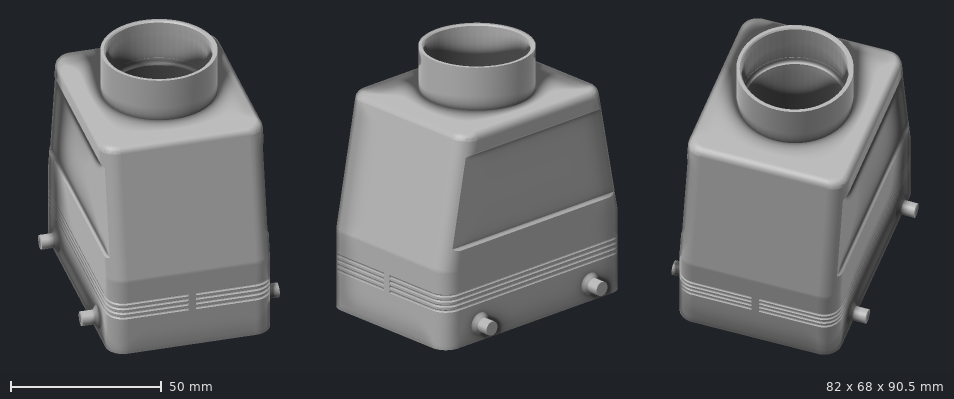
import cadquery as cq
import math

BODY_LENGTH = 82.0
BODY_WIDTH = 56.5
BODY_HEIGHT = 75.1
BASE_HEIGHT = 28.15
TAPER_ANGLE = 11.0
TAPER_BLEND_RADIUS = 4.7
CORNER_RADIUS = 6.1
TOP_RADIUS = 3.0

RECESS_BOTTOM = 34.75
RECESS_TOP = 68.0
RECESS_DEPTH = 1.0

GROOVE_COUNT = 4
GROOVE_START = 13.5
GROOVE_PITCH = 1.8
GROOVE_HEIGHT = 1.0
GROOVE_DEPTH = 0.5
GROOVE_GAP = 2.7

PIN_SPACING = 50.05
PIN_HEIGHT = 6.1
PIN_DIAMETER = 5.0
PIN_SPAN = 68.0
COLLAR_DIAMETER = 8.05
COLLAR_LENGTH = 1.3

TOTAL_HEIGHT = 90.5
NECK_DIAMETER = 39.0
BORE_DIAMETER = 35.8
BORE_DEPTH = 14.1
RIM_CHAMFER = 0.45
HOLE_DIAMETER = 33.5
SEAT_RADIUS = 1.1
SEAT_DEPTH = 16.3


def make_body():
    half_base = BODY_LENGTH / 2
    taper_height = BODY_HEIGHT - BASE_HEIGHT
    half_top = half_base - taper_height * math.tan(math.radians(TAPER_ANGLE))
    body = (
        cq.Workplane("XZ")
        .moveTo(-half_base, 0)
        .lineTo(half_base, 0)
        .lineTo(half_base, BASE_HEIGHT)
        .lineTo(half_top, BODY_HEIGHT)
        .lineTo(-half_top, BODY_HEIGHT)
        .lineTo(-half_base, BASE_HEIGHT)
        .close()
        .extrude(BODY_WIDTH / 2, both=True)
    )
    kink_edges = cq.selectors.BoxSelector(
        (-BODY_LENGTH, -BODY_WIDTH, BASE_HEIGHT / 2),
        (BODY_LENGTH, BODY_WIDTH, BODY_HEIGHT / 2),
    )
    body = body.edges("|Y").edges(kink_edges).fillet(TAPER_BLEND_RADIUS)
    body = body.faces("<Y or >Y").edges("not(#Z)").fillet(CORNER_RADIUS)
    return body.faces(">Z").edges().fillet(TOP_RADIUS)


def make_side_recesses():
    outer_y = BODY_WIDTH / 2
    inner_y = outer_y - RECESS_DEPTH
    recess = (
        cq.Workplane("YZ")
        .moveTo(outer_y, RECESS_BOTTOM)
        .lineTo(inner_y, RECESS_BOTTOM + RECESS_DEPTH)
        .lineTo(inner_y, RECESS_TOP - RECESS_DEPTH)
        .lineTo(outer_y, RECESS_TOP)
        .close()
        .extrude(BODY_LENGTH / 2, both=True)
    )
    return recess.union(recess.mirror("XZ"))


def make_groove(bottom):
    """V-shaped groove following the rounded base outline."""
    middle = bottom + GROOVE_HEIGHT / 2
    wall_angle = math.degrees(math.atan2(GROOVE_DEPTH, GROOVE_HEIGHT / 2))
    outline = cq.Sketch().rect(BODY_LENGTH, BODY_WIDTH).vertices().fillet(CORNER_RADIUS)
    lower_core = (
        cq.Workplane("XY", origin=(0, 0, bottom))
        .placeSketch(outline)
        .extrude(GROOVE_HEIGHT / 2, taper=wall_angle)
    )
    upper_core = lower_core.mirror("XY", (0, 0, middle))
    ring = (
        cq.Workplane("XY", origin=(0, 0, bottom))
        .rect(BODY_LENGTH, BODY_WIDTH)
        .extrude(GROOVE_HEIGHT)
    )
    end_bridge = (
        cq.Workplane("XY", origin=(0, 0, bottom))
        .rect(BODY_LENGTH, GROOVE_GAP)
        .extrude(GROOVE_HEIGHT)
    )
    return ring.cut(lower_core).cut(upper_core).cut(end_bridge)


def make_pin(x, side):
    """Pin pointing outward from the broad side; side is -1 or 1 along Y."""
    wall_y = BODY_WIDTH / 2
    pin = (
        cq.Workplane("XY")
        .lineTo(COLLAR_DIAMETER / 2, 0)
        .lineTo(COLLAR_DIAMETER / 2, wall_y)
        .lineTo(PIN_DIAMETER / 2, wall_y + COLLAR_LENGTH)
        .lineTo(PIN_DIAMETER / 2, PIN_SPAN / 2)
        .lineTo(0, PIN_SPAN / 2)
        .close()
        .revolve(360, (0, 0), (0, 1))
    )
    if side < 0:
        pin = pin.mirror("XZ")
    return pin.translate((x, 0, PIN_HEIGHT))


def make_neck():
    return (
        cq.Workplane("XY", origin=(0, 0, BASE_HEIGHT))
        .circle(NECK_DIAMETER / 2)
        .extrude(TOTAL_HEIGHT - BASE_HEIGHT)
    )


def make_entry_bore():
    """Through hole, concave rounded seat, wider bore and chamfered rim."""
    hole_radius = HOLE_DIAMETER / 2
    bore_radius = BORE_DIAMETER / 2
    bore_bottom = TOTAL_HEIGHT - BORE_DEPTH
    seat_bottom = TOTAL_HEIGHT - SEAT_DEPTH
    seat_top = seat_bottom + SEAT_RADIUS
    seat_outer = hole_radius + SEAT_RADIUS
    seat_diagonal = SEAT_RADIUS * math.sqrt(0.5)
    return (
        cq.Workplane("XZ")
        .lineTo(hole_radius, 0)
        .lineTo(hole_radius, seat_bottom)
        .threePointArc(
            (hole_radius + seat_diagonal, seat_top - seat_diagonal),
            (seat_outer, seat_top),
        )
        .lineTo(seat_outer, bore_bottom)
        .lineTo(bore_radius, bore_bottom)
        .lineTo(bore_radius, TOTAL_HEIGHT - RIM_CHAMFER)
        .lineTo(bore_radius + RIM_CHAMFER, TOTAL_HEIGHT)
        .lineTo(0, TOTAL_HEIGHT)
        .close()
        .revolve(360, (0, 0), (0, 1))
    )


result = make_body().cut(make_side_recesses())
for index in range(GROOVE_COUNT):
    result = result.cut(make_groove(GROOVE_START + index * GROOVE_PITCH))
for pin_x in (-PIN_SPACING / 2, PIN_SPACING / 2):
    for pin_side in (-1, 1):
        result = result.union(make_pin(pin_x, pin_side))
result = result.union(make_neck()).cut(make_entry_bore())